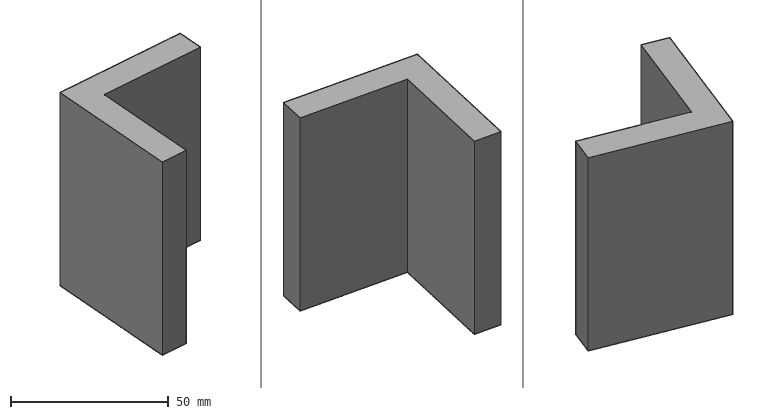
import cadquery as cq

height = 75.0
leg_length = 50.0
thickness = 10.0

section = [
    (0, 0),
    (leg_length, 0),
    (leg_length, thickness),
    (thickness, thickness),
    (thickness, leg_length),
    (0, leg_length),
]

result = cq.Workplane("XY").polyline(section).close().extrude(height)